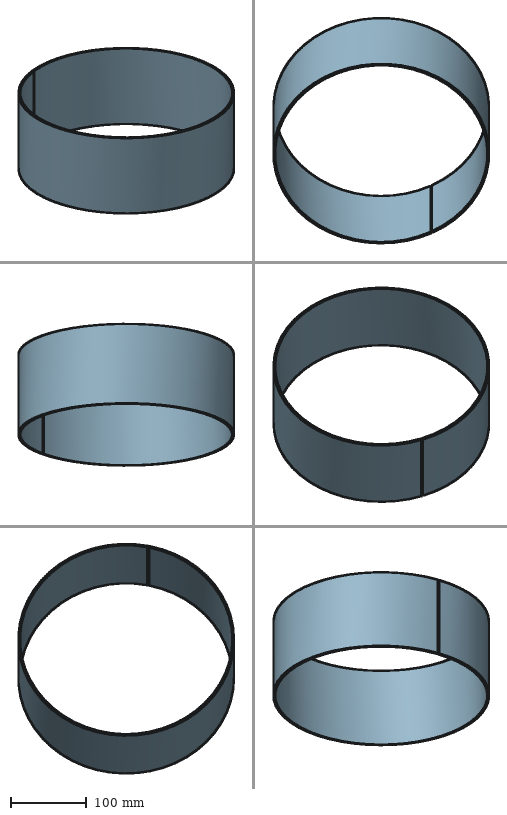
import cadquery as cq

outer_diameter = 285.0
wall_thickness = 2.5
height = 110.0
gap_angle = 1.0
outer_chamfer = 0.5
inner_chamfer = 0.2

outer_radius = outer_diameter / 2
inner_radius = outer_radius - wall_thickness


def make_wall_section():
    """Wall cross-section on the -X side, with chamfered outer and inner rim corners."""
    return (
        cq.Workplane("XZ")
        .moveTo(-inner_radius, inner_chamfer)
        .lineTo(-inner_radius - inner_chamfer, 0)
        .lineTo(-outer_radius + outer_chamfer, 0)
        .lineTo(-outer_radius, outer_chamfer)
        .lineTo(-outer_radius, height - outer_chamfer)
        .lineTo(-outer_radius + outer_chamfer, height)
        .lineTo(-inner_radius - inner_chamfer, height)
        .lineTo(-inner_radius, height - inner_chamfer)
        .close()
    )


def make_split_band():
    """Sweep the wall section around Z, stopping short of a full turn to leave the gap."""
    axis_start = (0, 0, 0)
    axis_end = (0, 1, 0)
    return make_wall_section().revolve(360 - gap_angle, axis_start, axis_end)


result = make_split_band()